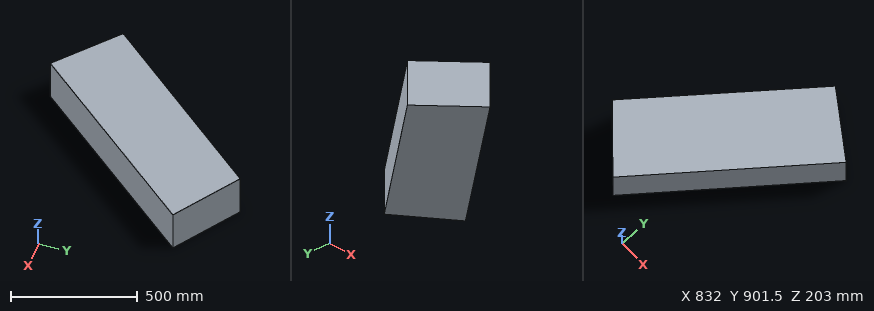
import cadquery as cq

length_x = 832.0
length_y = 901.5
height = 203.0

left_corner_y = 225.0
front_corner_x = 238.0
right_corner_y = 708.0
back_corner_x = 570.0

outline = [
    (0, left_corner_y),
    (front_corner_x, 0),
    (length_x, right_corner_y),
    (back_corner_x, length_y),
]

result = cq.Workplane("XY").polyline(outline).close().extrude(height)